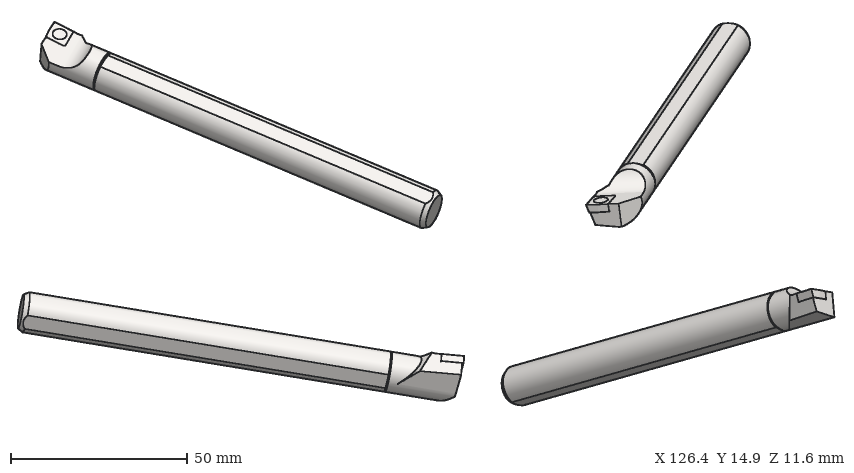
import cadquery as cq
import math

length = 126.4
neck_diameter = 11.6
neck_radius = neck_diameter / 2
neck_end = 20.6

shank_radius = neck_radius
flat_half_width = 2.3
flat_height = math.sqrt(shank_radius**2 - flat_half_width**2)
step_chamfer = 0.4
end_chamfer_length = 1.5
end_chamfer_depth = 0.9

tip_y = 9.1
tip_z = 0.3
tilt = 7.0

insert_side = 6.5
lead_angle = 5.0
insert_thickness = 2.4
insert_nose_bend = (0.1, 5.7)
insert_corner_radius = 0.5
post_diameter = 4.0

side_setback = 0.1
front_setback = 0.4
wall_relief = 22.5
head_front_corner = (0.8, -0.4)
head_front_bend = (0.44, 5.7)
chamfer_end = (5.8, -5.5)
lug_top = 3.8
lug_end_x = 9.6
lug_end_y = 8.0
scoop_start = 8.9
scoop_radius = 8.9
scoop_length = 6.8
scoop_height = 4.5

lead_sin = math.sin(math.radians(lead_angle))
lead_cos = math.cos(math.radians(lead_angle))
clear = 2 * neck_diameter


def tilted(shape):
    """Move a shape from the cutting plane's own frame (top at Z = 0) into place."""
    pivot = (0, tip_y, 0)
    return shape.rotate(pivot, (1, tip_y, 0), -tilt).translate((0, 0, tip_z))


def prism(points, top, bottom):
    """Vertical prism in the frame of the cutting plane."""
    return cq.Workplane("XY").workplane(offset=bottom).polyline(points).close().extrude(top - bottom)


def along_x(radius, start, end):
    return cq.Workplane("YZ").workplane(offset=start).circle(radius).extrude(end - start)


def make_shank():
    profile = [
        (neck_end, 0),
        (neck_end, shank_radius),
        (length - end_chamfer_length, shank_radius),
        (length, shank_radius - end_chamfer_depth),
        (length, 0),
    ]
    shank = cq.Workplane("XY").polyline(profile).close().revolve(360, (0, 0, 0), (1, 0, 0))
    slab = cq.Workplane("XY").box(2 * length, neck_diameter, 2 * flat_height)
    return shank.intersect(slab)


def make_lug():
    """Overhang toward +Y that carries the insert, with a sloping relief wall."""
    wall_y = tip_y - side_setback
    wall_slope = math.tan(math.radians(wall_relief))
    bottom_y = wall_y - (tip_z + neck_radius) * wall_slope
    top_y = wall_y + (lug_top - tip_z) * wall_slope
    section = [(0, -neck_radius), (bottom_y, -neck_radius), (top_y, lug_top), (0, lug_top)]
    lug = cq.Workplane("YZ").workplane(offset=-neck_radius).polyline(section).close().extrude(clear)
    lug = lug.rotate((0, 0, 0), (0, 0, 1), -lead_angle)
    end_plan = [
        (lug_end_x + lug_end_y, 0),
        (lug_end_x + lug_end_y - clear, clear),
        (-clear, clear),
        (-clear, 0),
    ]
    lug_end = prism(end_plan, clear, -clear)
    return lug.intersect(lug_end)


def make_head_outline():
    """Plan outline: front edge and corner chamfer."""
    outline = [
        (front_setback, clear),
        (front_setback, tip_y),
        head_front_bend,
        head_front_corner,
        chamfer_end,
        (chamfer_end[0] + neck_radius, chamfer_end[1] - neck_radius),
        (clear, chamfer_end[1] - neck_radius),
        (clear, clear),
    ]
    return tilted(prism(outline, clear, -clear))


def make_scoop():
    """Material removed above the cutting plane, ending in a round run-out."""
    scoop = (
        cq.Workplane("XZ")
        .workplane(offset=-clear)
        .moveTo(-clear, 0)
        .lineTo(0, 0)
        .radiusArc((scoop_length, scoop_height), -scoop_radius)
        .lineTo(scoop_length, clear)
        .lineTo(-clear, clear)
        .close()
        .extrude(2 * clear)
    )
    return tilted(scoop.rotate((0, 0, 0), (0, 0, 1), lead_angle).translate((scoop_start, 0, 0)))


def make_insert_blank():
    across = (insert_side * lead_cos, -insert_side * lead_sin)
    down = (insert_side * lead_sin, -insert_side * lead_cos)
    outline = [
        (0, tip_y),
        (across[0], tip_y + across[1]),
        (across[0] + down[0], tip_y + across[1] + down[1]),
        (down[0], tip_y + down[1]),
        insert_nose_bend,
    ]
    blank = prism(outline, 0, -insert_thickness)
    return blank.edges("|Z").edges(">(1,-1,0)").fillet(insert_corner_radius)


def make_post():
    half_diagonal = insert_side * (lead_cos + lead_sin) / 2
    return (
        cq.Workplane("XY")
        .workplane(offset=-insert_thickness)
        .center(half_diagonal, tip_y - half_diagonal)
        .circle(post_diameter / 2)
        .extrude(insert_thickness)
    )


def make_insert():
    """Insert with its relief wall on the +Y side and a hole for the post."""
    drop = insert_thickness * math.tan(math.radians(wall_relief - tilt))
    wedge = (
        cq.Workplane("YZ")
        .workplane(offset=-clear)
        .polyline([(0, 0), (0, -insert_thickness), (-drop, -insert_thickness)])
        .close()
        .extrude(2 * clear)
        .rotate((0, 0, 0), (0, 0, 1), -lead_angle)
        .translate((0, tip_y, 0))
    )
    return tilted(make_insert_blank().cut(wedge).cut(make_post()))


def make_holder():
    neck = along_x(neck_radius, 0, neck_end).faces(">X").chamfer(step_chamfer)
    head = neck.union(make_lug()).intersect(make_head_outline()).cut(make_scoop())
    head = head.cut(tilted(make_insert_blank()))
    return head.union(tilted(make_post())).union(make_shank())


holder = make_holder()
insert = make_insert()

result = cq.Compound.makeCompound([holder.val(), insert.val()])